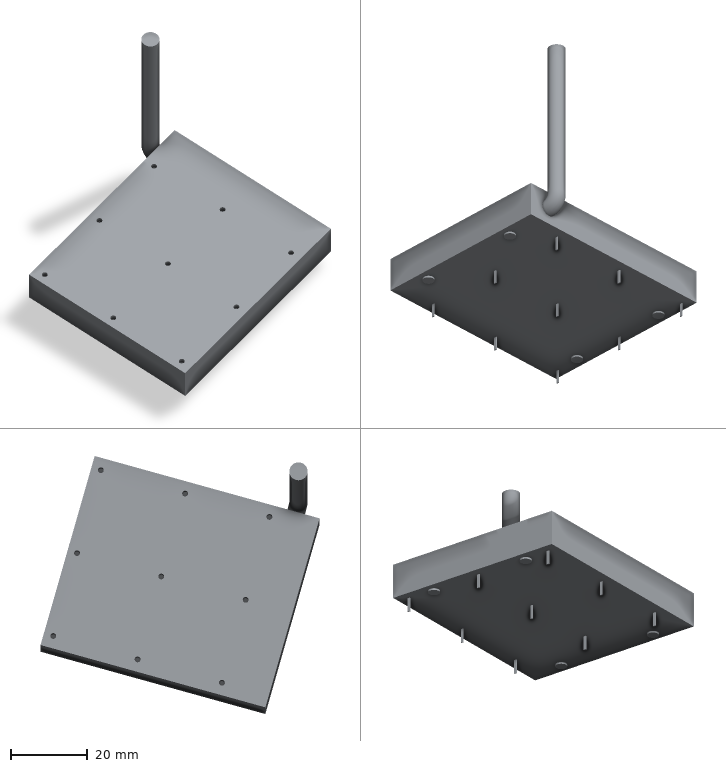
import cadquery as cq

housing_width = 52.1
housing_depth = 60.95
housing_height = 9.7

pins_per_side = 3
pin_pitch = 22.85
pin_grid_front_margin = 2.55
pin_width = 0.75
pin_thickness = 0.25
pin_length = 3.9
hole_diameter = 1.5
hole_depth = 1.5

foot_diameter = 3.2
foot_height = 0.5
feet_per_side = 2
foot_spacing_x = 30.2
foot_edge_margin = 3.2

cable_diameter = 4.75
cable_bend_radius = 2.9
cable_back_margin = 6.5
cable_top_above_housing = 43.05

housing_center_x = housing_width / 2
pin_grid_center_y = pin_grid_front_margin + pin_pitch * (pins_per_side - 1) / 2
foot_spacing_y = housing_depth - 2 * foot_edge_margin
cable_exit_z = housing_height / 2
cable_y = housing_depth - cable_back_margin


def make_block():
    return cq.Workplane("XY").box(housing_width, housing_depth, housing_height, centered=False)


def on_pin_grid(z):
    """Workplane at height z with one point for every pin."""
    return (
        cq.Workplane("XY", origin=(housing_center_x, pin_grid_center_y, z))
        .rarray(pin_pitch, pin_pitch, pins_per_side, pins_per_side)
    )


def make_pins():
    return on_pin_grid(0).rect(pin_width, pin_thickness).extrude(-pin_length)


def make_sight_holes():
    return on_pin_grid(housing_height).circle(hole_diameter / 2).extrude(-hole_depth)


def make_feet():
    return (
        cq.Workplane("XY", origin=(housing_center_x, housing_depth / 2, 0))
        .rarray(foot_spacing_x, foot_spacing_y, feet_per_side, feet_per_side)
        .circle(foot_diameter / 2)
        .extrude(-foot_height)
    )


def make_housing():
    return make_block().union(make_pins()).union(make_feet()).cut(make_sight_holes())


def make_cable():
    """Quarter bend from the housing's left face, then a straight vertical run."""
    bend_end_z = cable_exit_z + cable_bend_radius
    straight_length = housing_height + cable_top_above_housing - bend_end_z
    bend = (
        cq.Workplane("YZ", origin=(0, cable_y, cable_exit_z))
        .circle(cable_diameter / 2)
        .revolve(90, (0, cable_bend_radius, 0), (1, cable_bend_radius, 0))
    )
    straight = (
        cq.Workplane("XY", origin=(-cable_bend_radius, cable_y, bend_end_z))
        .circle(cable_diameter / 2)
        .extrude(straight_length)
    )
    return bend.union(straight)


housing = make_housing()
cable = make_cable()

result = cq.Compound.makeCompound([housing.val(), cable.val()])